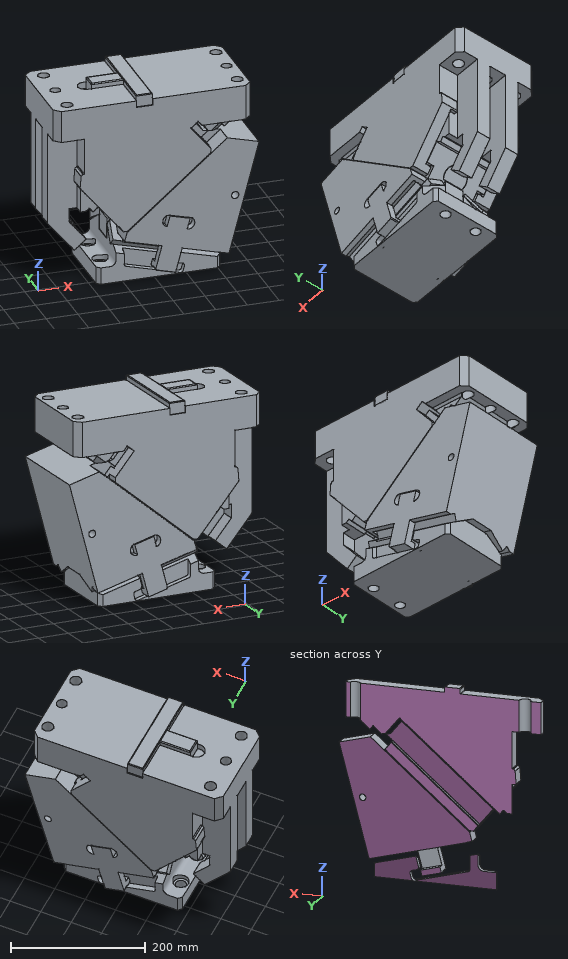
import cadquery as cq
import math


length = 321.7
height = 309.0
half_width = 75.0
driver_tilt = math.radians(15.0)
rail_tilt = math.radians(40.0)
rail_foot_x = 113.5
rail_foot_z = 86.0
slide_gap = 1.0
reach = 482.5

tilt_cos = math.cos(driver_tilt)
tilt_sin = math.sin(driver_tilt)
rail_cos = math.cos(rail_tilt)
rail_sin = math.sin(rail_tilt)

block_top = 300.5
block_bottom = 244.8
block_end = 310.8
block_corner = 10.3
web_start = 46.3
web_bottom = 121.0
side_top = 249.5
rib_inner = 15.0
rib_outer = 39.5
rib_bottom = 101.5
rib_neck = 34.5
tail_length = 65.5
tail_thickness = 24.8
pad_rise = 111.3
pad_inner = 45.5
pad_top = 192.0
pad_draft = 1.5
pad_chamfer = 3.0
pad_skirt = 2.5
rail_start = -3.2
rail_end = 177.5
rail_nose_x = 245.5
rail_toe_z = 87.8
cavity_half = 56.0
cavity_top = 55.3
slide_plate_top = 64.5
slide_plate_start = -15.5
hook_inner = 45.7
hook_top = 17.5
stop_start = 192.5
stop_bottom = 7.5
stop_flare = 3.5
stop_bevel = 9.5
stop_bevel_end = 214.0
web_notch_top = 79.5

cross_key_start = 128.5
cross_key_end = 154.0
cross_key_half = 73.0
cross_key_floor = 290.0
cross_key_chamfer = 1.3
long_key_start = 78.2
long_key_half = 13.0
long_key_chamfer = 1.5
keyway_start = 61.0
keyway_depth = 10.5
screw_hole = 17.7
dowel_hole = 16.0
left_holes_x = 25.7
left_holes_y = 54.7
right_holes_x = 295.3
right_holes_y = 50.0
hole_depth = 70.8

slider_bottom = 97.5
slider_top = 281.2
slider_start = rail_foot_x * tilt_cos - rail_foot_z * tilt_sin
slider_end = (length - slider_top * tilt_sin) / tilt_cos
head_half = 55.3
neck_half = 42.5
head_bottom = 20.5
head_top = 54.7
head_end = 187.2
nose_recess_radius = 20.3
nose_recess_centre = 20.3
nose_recess_floor = 10.3
nose_recess_depth = 1.0
groove_half = 66.0
front_wall = 7.7
slide_pad_inset = 3.0
roof_gap = 2.0
leg_start = 148.3
leg_end = 181.0
leg_bottom = 57.5
leg_top = 146.5
leg_inner = 62.7
leg_corner = 1.5
foot_inner = 54.0
foot_top = 67.5
relief_radius = 9.3
relief_rise = 138.3
side_hole_x = 283.7
side_hole_z = 122.2
side_hole_diameter = 11.3
side_hole_depth = 19.3

base_start = 70.8
base_end = 265.7
base_half = 62.0
base_corner = 5.8
base_thickness = 27.5
post_start = 100.5
post_fillet = 9.3
flank_angle = math.radians(31.6)
flank_slope = math.tan(flank_angle)
ridge_rise = 109.5
plate_start = 77.5
plate_end = 164.0
plate_outer = 49.0
plate_outer_rise = 81.0
plate_thickness = 10.5
plate_top_y = plate_outer + plate_thickness * math.sin(flank_angle)
plate_top_rise = plate_outer_rise + plate_thickness * math.cos(flank_angle)
ridge_half = 17.0
notch_floor = 53.0
notch_depth = 0.5
pocket_inner = 53.0
pocket_wall = 113.5
pocket_floor = 53.5
pocket_roof = 68.5
pocket_end = 198.2
pocket_corner = 4.2
pocket_leg_gap = 1.0
base_screw_x = 86.2
base_screw_y = 29.3
base_screw_hole = 16.5
base_screw_head = 24.0
base_screw_head_depth = 7.5


def tilted(along, rise):
    """X and Z of a point given in the tilted frame."""
    return along * tilt_cos + rise * tilt_sin, rise * tilt_cos - along * tilt_sin


def railed(along, rise):
    """X and Z of a point given in the rail frame."""
    x = rail_foot_x + along * rail_cos - rise * rail_sin
    z = rail_foot_z + along * rail_sin + rise * rail_cos
    return x, z


def railed_at_height(z, rise):
    """The point at the given height on the line parallel to the rail at the given rise."""
    return railed((z - rail_foot_z - rise * rail_cos) / rail_sin, rise)


def prism(points, y_low, y_high):
    """An X-Z outline extruded from y_low to y_high."""
    plane = cq.Workplane("XZ", origin=(0, y_high, 0))
    return plane.polyline(points).close().extrude(y_high - y_low)


def centred(points, half):
    return prism(points, -half, half)


def both_sides(points, inner, outer):
    """The same X-Z outline extruded on either side of the plane Y = 0."""
    return prism(points, inner, outer).union(prism(points, -outer, -inner))


def rectangle(place, along_low, along_high, rise_low, rise_high):
    """Corners of a rectangle lying square in the tilted frame or the rail frame."""
    return [
        place(along_low, rise_low),
        place(along_high, rise_low),
        place(along_high, rise_high),
        place(along_low, rise_high),
    ]


def slope_prism(section, start, end):
    """A section of (Y, rise) points extruded down the driver slope."""
    x, z = tilted(start, 0)
    plane = cq.Plane(origin=(x, 0, z), xDir=(0, 1, 0), normal=(tilt_cos, 0, -tilt_sin))
    return cq.Workplane(plane).polyline(section).close().extrude(end - start)


def rail_prism(section, start, end):
    """A section of (Y, rise) points extruded up the rail."""
    return cq.Workplane(rail_plane(start)).polyline(section).close().extrude(end - start)


def rail_plane(along):
    """The plane square to the rail, with Y and the rise as its axes."""
    x, z = railed(along, 0)
    return cq.Plane(origin=(x, 0, z), xDir=(0, 1, 0), normal=(rail_cos, 0, rail_sin))


def opposite(section):
    """The same section on the -Y side."""
    return [(-y, rise) for y, rise in section]


def mirrored(half_section):
    """A closed section from the points of its +Y half."""
    return half_section + opposite(reversed(half_section))


def box(x_low, x_high, half, z_low, z_high):
    """A block from x_low to x_high and z_low to z_high, centred on the plane Y = 0."""
    size = (x_high - x_low, 2 * half, z_high - z_low)
    return cq.Workplane("XY").box(*size, centered=(False, True, False)).translate((x_low, 0, z_low))


def top_block():
    outline = [
        (0, block_top),
        (0, side_top),
        (web_start, side_top),
        (web_start, block_bottom),
        (block_end, block_bottom),
        (block_end, block_top),
    ]
    return centred(outline, half_width).edges("|Z and (<X or >X)").chamfer(block_corner)


def rail_toe():
    """The two ends of the level cut across the lower corner of the rail."""
    toe_rise = (rail_toe_z - rail_foot_z - rail_start * rail_sin) / rail_cos
    return [railed(rail_start, toe_rise), railed_at_height(rail_toe_z, slide_gap)]


def side_walls():
    """Walls outside the slider head, with the pads at their back and the rail below."""
    pad_face, pad_bottom = railed(rail_start, pad_rise)
    pad_outline = [
        (web_start, pad_top),
        (pad_face + pad_draft + pad_chamfer, pad_top),
        (pad_face + pad_draft, pad_top - pad_chamfer),
        (pad_face, pad_bottom),
    ]
    skirt_end = railed(rail_start, pad_rise - pad_skirt)
    nose_along = (rail_nose_x - rail_foot_x + slide_gap * rail_sin) / rail_cos
    nose_rise = (rail_foot_x + rail_end * rail_cos - rail_nose_x) / rail_sin
    wall_outline = pad_outline + [
        *rail_toe(),
        railed(nose_along, slide_gap),
        railed(rail_end, nose_rise),
        railed(rail_end, cavity_top),
        railed(stop_start, cavity_top),
        (railed(stop_start, cavity_top)[0], block_top),
        (web_start, block_top),
    ]
    walls = both_sides(wall_outline, cavity_half, half_width)
    pads = both_sides(pad_outline + [skirt_end, (web_start, skirt_end[1])], pad_inner, cavity_half)
    return walls.union(pads)


def middle_web():
    """The body between the side walls, with the slide plate along its underside."""
    outline = [
        (web_start, block_top),
        (web_start, web_bottom),
        railed_at_height(web_bottom, slide_plate_top),
        railed(slide_plate_start, slide_plate_top),
        railed(slide_plate_start, cavity_top),
        railed(stop_start, cavity_top),
        (railed(stop_start, cavity_top)[0], block_top),
    ]
    return centred(outline, cavity_half)


def rail_hooks():
    outline = rail_toe() + [railed(rail_end, slide_gap), railed(rail_end, hook_top)]
    outline.append(railed(rail_start, hook_top))
    return both_sides(outline, hook_inner, cavity_half)


def stop_wall():
    outline = [
        railed(stop_start, cavity_top),
        railed(stop_start, stop_bottom),
        railed_at_height(block_bottom, stop_bottom),
    ]
    flare_bottom = block_bottom - stop_flare
    section = [
        (cavity_half, 0),
        (cavity_half, flare_bottom),
        (cavity_half + stop_flare, block_bottom),
        (cavity_half + stop_flare, block_top),
    ]
    flared = cq.Workplane("YZ").polyline(mirrored(section)).close().extrude(length)
    above_slider = rectangle(tilted, 0, reach, 0, slider_top + slide_gap)
    wall = centred(outline, half_width).intersect(flared)
    wall = wall.cut(centred(above_slider, half_width))
    bevel = [
        (cavity_half, stop_bottom),
        (cavity_half, stop_bottom + stop_bevel),
        (cavity_half - stop_bevel, stop_bottom),
    ]
    for section in (bevel, opposite(bevel)):
        wall = wall.cut(rail_prism(section, stop_start, stop_bevel_end))
    return wall


def head_slot():
    """Gap across the whole width between the rail and the stop wall."""
    return centred(rectangle(railed, rail_end, stop_start, 0, cavity_top), half_width)


def web_notch():
    outline = rectangle(railed, -reach, slide_plate_start, cavity_top, web_notch_top)
    return centred(outline, rib_inner)


def ribs():
    tail_x = tail_length * rail_sin
    tail_z = rib_bottom - tail_length * rail_cos
    end_x = tail_x + tail_thickness * rail_cos
    end_z = tail_z + tail_thickness * rail_sin
    outline = [
        (0, side_top),
        (0, rib_bottom),
        (tail_x, tail_z),
        (end_x, end_z),
        (rib_neck, end_z + (end_x - rib_neck) * rail_cos / rail_sin),
        (rib_neck, web_bottom),
        (web_start, web_bottom),
        (web_start, side_top),
    ]
    return both_sides(outline, rib_inner, rib_outer)


def cross_key():
    key = box(cross_key_start, cross_key_end, cross_key_half, cross_key_floor, height)
    return key.faces(">Z").edges().chamfer(cross_key_chamfer)


def keyway():
    floor = block_top - keyway_depth
    centre = keyway_start + long_key_half
    end = cq.Workplane("XY", origin=(centre, 0, floor)).circle(long_key_half).extrude(keyway_depth)
    return box(centre, cross_key_start, long_key_half, floor, block_top).union(end)


def long_key():
    key = box(long_key_start, cross_key_start, long_key_half, block_top - keyway_depth, height)
    return key.faces(">Z").edges("<X or <Y or >Y").chamfer(long_key_chamfer)


def mounting_holes(x, outer_y):
    plane = cq.Workplane("XY", origin=(x, 0, block_top - hole_depth))
    screws = plane.pushPoints([(0, outer_y), (0, -outer_y)]).circle(screw_hole / 2).extrude(hole_depth)
    return screws.union(plane.circle(dowel_hole / 2).extrude(hole_depth))


def make_holder():
    body = top_block().union(side_walls()).union(middle_web()).union(rail_hooks())
    body = body.union(stop_wall()).union(ribs())
    body = body.cut(head_slot()).cut(web_notch())
    body = body.cut(box(cross_key_start, cross_key_end, half_width, cross_key_floor, height))
    body = body.cut(keyway()).union(cross_key()).union(long_key())
    body = body.cut(mounting_holes(left_holes_x, left_holes_y))
    return body.cut(mounting_holes(right_holes_x, right_holes_y))


def top_face_along(rise):
    """How far up the rail a line at the given rise meets the top face of the slider."""
    foot_rise = rail_foot_x * tilt_sin + rail_foot_z * tilt_cos
    between = rail_tilt + driver_tilt
    return (slider_top - foot_rise - rise * math.cos(between)) / math.sin(between)


def slider_body():
    outline = [
        railed(0, 0),
        tilted(slider_start, slider_bottom),
        tilted(slider_end, slider_bottom),
        tilted(slider_end, slider_top),
        railed(top_face_along(0), 0),
    ]
    return centred(outline, half_width)


def tongue(half, bottom):
    """Part of the T-shaped guide, from the given rise up to the top of the head."""
    end_slope = math.tan(rail_tilt + driver_tilt)
    corner_rise = (top_face_along(0) - head_end) * end_slope
    outline = [
        railed(rail_start, bottom),
        railed(top_face_along(bottom), bottom),
        railed(head_end, corner_rise),
        railed(head_end, head_top),
        railed(rail_start, head_top),
    ]
    return centred(outline, half)


def nose_recess():
    """Shallow flat-bottomed arch in the lower end of the guide."""
    drop = nose_recess_centre - nose_recess_floor
    chord_half = math.sqrt(nose_recess_radius**2 - drop**2)
    return (
        cq.Workplane(rail_plane(rail_start))
        .moveTo(-chord_half, nose_recess_floor)
        .threePointArc((0, nose_recess_centre + nose_recess_radius), (chord_half, nose_recess_floor))
        .close()
        .extrude(nose_recess_depth)
    )


def plate_face_half(rise):
    """Half width, at the given rise, of the V formed by the faces of the wear plates."""
    return plate_top_y - (rise - plate_top_rise) / flank_slope


def groove_roof():
    """Half width and rise of the flat roof of the groove."""
    rise = ridge_rise + roof_gap
    return groove_half - (rise - slider_bottom) / flank_slope, rise


def slider_groove():
    """V groove that fits the wear plates at the slider end and is wider behind the front wall."""
    roof = groove_roof()
    fitted = [(plate_face_half(slider_bottom), slider_bottom), (plate_face_half(roof[1]), roof[1])]
    wide = [(groove_half, slider_bottom), roof]
    groove = slope_prism(mirrored(fitted), 0, reach)
    return groove.union(slope_prism(mirrored(wide), slider_start + front_wall, reach))


def slide_pads():
    """Pads filling the flanks of the wide groove down to the wear plates."""
    outer_y = plate_top_y - slide_pad_inset
    outer_rise = plate_top_rise + slide_pad_inset * flank_slope
    flank_offset = slider_bottom - outer_rise - (outer_y - groove_half) * flank_slope
    pad_thickness = flank_offset * math.cos(flank_angle)
    roof = groove_roof()
    section = [
        (outer_y, outer_rise),
        (
            outer_y + pad_thickness * math.sin(flank_angle),
            outer_rise + pad_thickness * math.cos(flank_angle),
        ),
        roof,
        (plate_face_half(roof[1]), roof[1]),
    ]
    start = slider_start + front_wall
    right = slope_prism(section, start, slider_end)
    return right.union(slope_prism(opposite(section), start, slider_end))


def legs():
    """Return legs let into the slider sides, each with a foot turned inwards."""
    leg_outline = [
        tilted(leg_start, leg_top),
        tilted(leg_start, leg_bottom + leg_corner),
        tilted(leg_start + leg_corner, leg_bottom),
        tilted(leg_end, leg_bottom),
        tilted(leg_end, leg_top),
    ]
    foot_outline = rectangle(tilted, leg_start, leg_end, leg_bottom, foot_top)
    return both_sides(leg_outline, leg_inner, half_width).union(
        both_sides(foot_outline, foot_inner, leg_inner)
    )


def leg_relief():
    """Round-ended slot around the upper end of each leg."""
    outline = rectangle(
        tilted, leg_start, leg_end, relief_rise - relief_radius, relief_rise + relief_radius
    )
    slot = both_sides(outline, leg_inner, half_width)
    for along in (leg_start, leg_end):
        centre = [tilted(along, relief_rise)]
        end = cq.Workplane("XZ").pushPoints(centre).circle(relief_radius)
        slot = slot.union(end.extrude(half_width, both=True))
    return slot.cut(box(0, length, leg_inner, 0, height))


def side_holes():
    """Blind holes with conical bottoms in both sides."""
    radius = side_hole_diameter / 2
    profile = [(0, 0), (0, side_hole_depth + radius), (radius, side_hole_depth), (radius, 0)]
    drill = cq.Workplane("XY").polyline(profile).close().revolve(360, (0, 0, 0), (0, 1, 0))
    drill = drill.translate((side_hole_x, -half_width, side_hole_z))
    return drill.union(drill.mirror("XZ"))


def make_slider():
    body = slider_body().union(tongue(neck_half, 0)).union(tongue(head_half, head_bottom))
    body = body.cut(nose_recess()).cut(slider_groove()).union(slide_pads())
    return body.cut(leg_relief()).union(legs()).cut(side_holes())


def roof_section(y, rise):
    """Everything under a ridged roof whose flanks pass through the given point."""
    eaves = rise - (half_width - y) * flank_slope
    top_half = max(y - (ridge_rise - rise) / flank_slope, 0.0)
    return mirrored([(half_width, -reach), (half_width, eaves), (top_half, ridge_rise)])


def driver_block():
    profile = (
        cq.Workplane("XZ", origin=(0, base_half, 0))
        .moveTo(base_start, 0)
        .lineTo(base_start, base_thickness)
        .lineTo(post_start - post_fillet, base_thickness)
        .radiusArc((post_start, base_thickness + post_fillet), -post_fillet)
        .lineTo(post_start, height / 2)
        .lineTo(base_end, height / 2)
        .lineTo(base_end, 0)
        .close()
        .extrude(2 * base_half)
    )
    return profile.edges("|Z and (<X or >X)").chamfer(base_corner)


def driver_roof():
    """Low flanks under the wear plates, then flanks flush with the plate tops."""
    low = slope_prism(roof_section(plate_outer, plate_outer_rise), -reach, plate_end)
    high = slope_prism(roof_section(plate_top_y, plate_top_rise), plate_end, reach)
    rib = slope_prism(mirrored([(ridge_half, 0), (ridge_half, ridge_rise)]), -reach, plate_end)
    return low.union(high).union(rib)


def wear_plates():
    top_inner = plate_face_half(ridge_rise)
    section = [
        (plate_outer, plate_outer_rise),
        (plate_top_y, plate_top_rise),
        (top_inner, ridge_rise),
        (
            top_inner - plate_thickness * math.sin(flank_angle),
            ridge_rise - plate_thickness * math.cos(flank_angle),
        ),
    ]
    right = slope_prism(section, plate_start, plate_end)
    return right.union(slope_prism(opposite(section), plate_start, plate_end))


def leg_pockets():
    """Side pockets, open above, with a closed end towards +X, for the slider feet."""
    wall_floor = (pocket_floor - pocket_wall * tilt_sin) / tilt_cos
    opening = leg_end + pocket_leg_gap
    outline = [
        (pocket_wall, height / 2),
        (pocket_wall, wall_floor),
        tilted(pocket_end, pocket_floor),
        tilted(pocket_end, pocket_roof),
        tilted(opening, pocket_roof),
        tilted(opening, height / 2),
    ]
    pockets = both_sides(outline, pocket_inner, half_width)
    rounded = pockets.edges("|Y").edges(
        cq.selectors.BoxSelector((0, -half_width, 0), (length, half_width, height / 4))
    )
    return rounded.fillet(pocket_corner)


def base_screw_holes():
    places = [(base_screw_x, base_screw_y), (base_screw_x, -base_screw_y)]
    shafts = cq.Workplane("XY").pushPoints(places).circle(base_screw_hole / 2).extrude(base_thickness)
    seat = base_thickness - base_screw_head_depth
    heads = cq.Workplane("XY", origin=(0, 0, seat)).pushPoints(places).circle(base_screw_head / 2)
    return shafts.union(heads.extrude(base_screw_head_depth + post_fillet))


def make_driver():
    body = driver_block().intersect(driver_roof())
    body = body.cut(box(post_start, post_start + notch_depth, ridge_half, notch_floor, height))
    return body.union(wear_plates()).cut(leg_pockets()).cut(base_screw_holes())


holder = make_holder()
slider = make_slider()
driver = make_driver()
result = cq.Compound.makeCompound([body.solids().val() for body in (holder, slider, driver)])